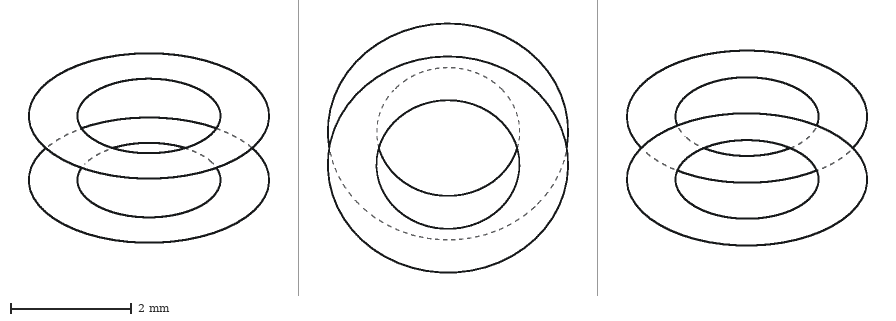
import cadquery as cq

outer_diameter = 4.0
inner_diameter = 2.38
ring_thickness = 0.01

stack_height = 1.26
ring_count = 2
ring_pitch = (stack_height - ring_thickness) / (ring_count - 1)


def make_ring(bottom_z):
    """Thin flat ring around the Z axis, with its lower face at bottom_z."""
    return (
        cq.Workplane("XY", origin=(0, 0, bottom_z))
        .circle(outer_diameter / 2)
        .circle(inner_diameter / 2)
        .extrude(ring_thickness)
    )


rings = [make_ring(-stack_height / 2 + index * ring_pitch) for index in range(ring_count)]

result = cq.Compound.makeCompound([ring.val() for ring in rings])